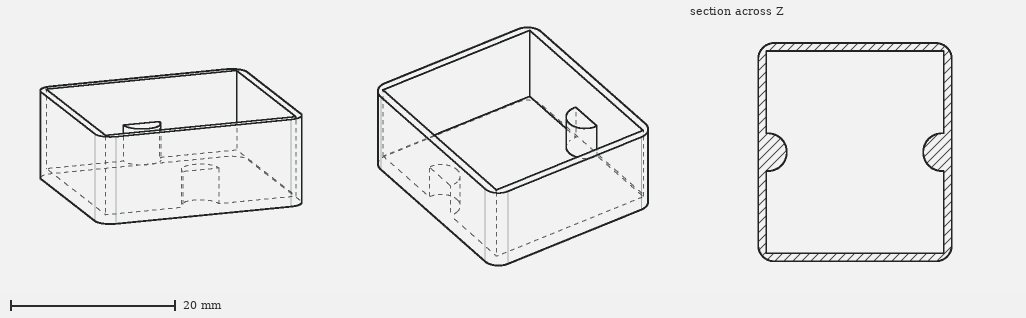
import cadquery as cq

width = 23.5
length = 26.5
height = 11.0
corner_radius = 2.0

wall = 1.0
floor = 1.0

post_radius = 2.3
post_reach = 2.5
post_height = 4.5

inner_width = width - 2 * wall
inner_length = length - 2 * wall


def make_tray():
    """Box with rounded vertical edges and a sharp-cornered cavity, open at the top."""
    body = (
        cq.Workplane("XY")
        .box(width, length, height, centered=(True, True, False))
        .edges("|Z")
        .fillet(corner_radius)
    )
    cavity = (
        cq.Workplane("XY")
        .workplane(offset=floor)
        .rect(inner_width, inner_length)
        .extrude(height - floor)
    )
    return body.cut(cavity)


def make_post(side):
    """Round-nosed post that starts at the inner face of one side wall (side is -1 or +1)."""
    wall_face = side * inner_width / 2
    nose_center = wall_face - side * (post_reach - post_radius)
    nose = (
        cq.Workplane("XY")
        .center(nose_center, 0)
        .circle(post_radius)
        .extrude(floor + post_height)
    )
    room = cq.Workplane("XY").box(
        width - wall, inner_length, height, centered=(True, True, False)
    )
    return nose.intersect(room)


result = make_tray()
for side in (-1, 1):
    result = result.union(make_post(side))